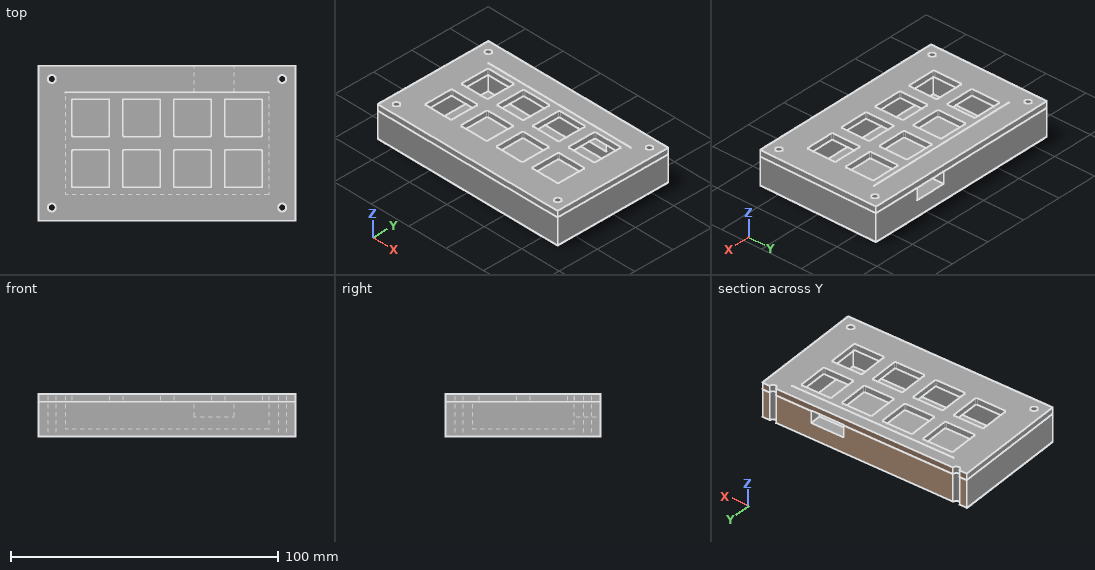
import cadquery as cq

LENGTH = 96.2
WIDTH = 58.1
HEIGHT = 16.0
PLATE_THICKNESS = 3.0
BASE_HEIGHT = HEIGHT - PLATE_THICKNESS

COLUMNS = 4
ROWS = 2
KEY_PITCH = 19.0
WINDOW_SIZE = 14.0
WINDOW_CORNER_RADIUS = 0.5

CAVITY_LENGTH = COLUMNS * KEY_PITCH
CAVITY_WIDTH = ROWS * KEY_PITCH
FLOOR_THICKNESS = 3.0
CAVITY_DEPTH = BASE_HEIGHT - FLOOR_THICKNESS

OPENING_LENGTH = 15.0
OPENING_LEFT_X = 10.0
OPENING_CENTER_X = OPENING_LEFT_X + OPENING_LENGTH / 2
OPENING_SILL = 7.4

SLIT_WIDTH = 0.1
SLIT_CENTER_Y = CAVITY_WIDTH / 2

HOLE_DIAMETER = 2.9
HOLE_INSET = 5.0
HOLE_SPACING_X = LENGTH - 2 * HOLE_INSET
HOLE_SPACING_Y = WIDTH - 2 * HOLE_INSET


def block(length, width, bottom, height):
    """A rectangular block centred on the Z axis, standing on the level `bottom`."""
    return cq.Workplane("XY", origin=(0, 0, bottom)).box(
        length, width, height, centered=(True, True, False)
    )


def drill_screw_holes(body):
    """Drill the four corner screw holes right through a body."""
    return (
        body.faces(">Z")
        .workplane(origin=(0, 0, 0))
        .rarray(HOLE_SPACING_X, HOLE_SPACING_Y, 2, 2)
        .hole(HOLE_DIAMETER)
    )


def make_base():
    """Open-topped case with a cable opening in its rear wall."""
    cavity = block(CAVITY_LENGTH, CAVITY_WIDTH, FLOOR_THICKNESS, CAVITY_DEPTH)
    wall_thickness = (WIDTH - CAVITY_WIDTH) / 2
    wall_center_y = (WIDTH - wall_thickness) / 2
    opening = block(OPENING_LENGTH, wall_thickness, OPENING_SILL, BASE_HEIGHT - OPENING_SILL)
    opening = opening.translate((OPENING_CENTER_X, wall_center_y, 0))
    base = block(LENGTH, WIDTH, 0, BASE_HEIGHT)
    return drill_screw_holes(base).cut(cavity).cut(opening)


def make_plate():
    """Key plate with a grid of rounded square windows and a long slit."""
    windows = (
        cq.Workplane("XY", origin=(0, 0, BASE_HEIGHT))
        .rarray(KEY_PITCH, KEY_PITCH, COLUMNS, ROWS)
        .rect(WINDOW_SIZE, WINDOW_SIZE)
        .extrude(PLATE_THICKNESS)
        .edges("|Z")
        .fillet(WINDOW_CORNER_RADIUS)
    )
    slit = block(CAVITY_LENGTH, SLIT_WIDTH, BASE_HEIGHT, PLATE_THICKNESS)
    slit = slit.translate((0, SLIT_CENTER_Y, 0))
    plate = block(LENGTH, WIDTH, BASE_HEIGHT, PLATE_THICKNESS)
    return drill_screw_holes(plate).cut(windows).cut(slit)


base = make_base()
plate = make_plate()
result = cq.Compound.makeCompound([base.val(), plate.val()])